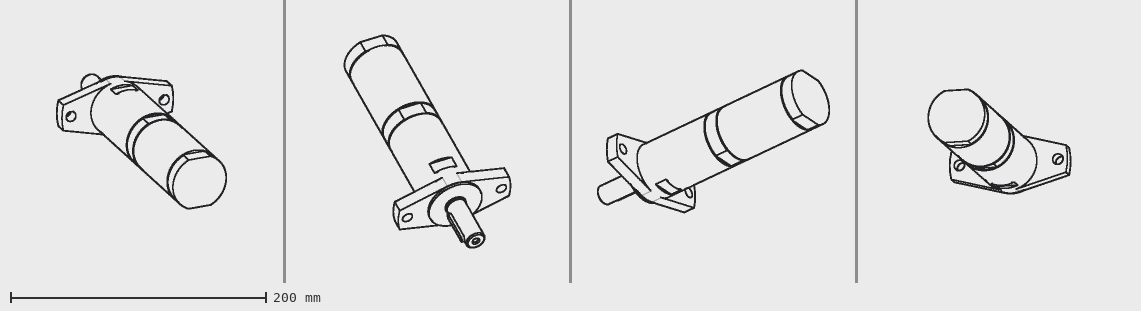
import cadquery as cq
import math

shoulder_x = 39.7
collar_x = 41.0
pilot_x = 41.6
flange_x = 43.8
flange_thickness = 10.2
front_flats_x = 61.6
front_flats_length = 10.5
middle_ring_x = 122.6
middle_flats_length = 11.7
rear_ring_x = 201.2
total_length = 212.5

body_diameter = 46.0
pilot_diameter = 45.0
shaft_diameter = 16.0
shoulder_diameter = 17.0
collar_diameter = 17.5

ring_width = 0.6
ring_diameter = pilot_diameter

flat_spacing = 41.9

shaft_chamfer = 1.0
center_hole_diameter = 4.0
center_sink_diameter = 6.2
center_sink_depth = 1.0
center_hole_depth = 8.5
drill_tip_length = 1.0

key_x = 4.2
key_length = 30.2
key_width = 5.0
key_top = 10.0

flange_width = 95.6
flange_taper = 15.4
bolt_hole_diameter = 8.3
bolt_spacing = 80.0


def section_plane(x):
    """Workplane across the axis at x: local x is Y, local y is Z."""
    return cq.Workplane("YZ", origin=(x, 0, 0))


def cylinder(start, end, diameter):
    return section_plane(start).circle(diameter / 2).extrude(end - start)


def make_shaft():
    """Shaft with a chamfered end, a conical shoulder and a seal collar."""
    shaft = cylinder(0, pilot_x, shaft_diameter).faces("<X").chamfer(shaft_chamfer)
    shoulder = (
        cq.Workplane("XY")
        .moveTo(shoulder_x, 0)
        .lineTo(shoulder_x, shaft_diameter / 2)
        .lineTo(collar_x, shoulder_diameter / 2)
        .lineTo(collar_x, 0)
        .close()
        .revolve(360, (0, 0, 0), (1, 0, 0))
    )
    collar = cylinder(collar_x, pilot_x, collar_diameter)
    return shaft.union(shoulder).union(collar)


def make_key():
    """Round-ended key that reaches from the shaft axis to its top face."""
    return (
        cq.Workplane("XZ")
        .center(key_x + key_length / 2, 0)
        .slot2D(key_length, key_width)
        .extrude(-key_top)
    )


def make_center_hole():
    """Countersunk hole with a conical bottom, as a solid to cut away."""
    hole_radius = center_hole_diameter / 2
    return (
        cq.Workplane("XY")
        .lineTo(0, center_sink_diameter / 2)
        .lineTo(center_sink_depth, hole_radius)
        .lineTo(center_hole_depth, hole_radius)
        .lineTo(center_hole_depth + drill_tip_length, 0)
        .close()
        .revolve(360, (0, 0, 0), (1, 0, 0))
    )


def make_flange():
    """Plate with round ends and straight sides tangent to the body."""
    body_radius = body_diameter / 2
    end_radius = flange_width / 2
    taper = math.radians(flange_taper)
    tangent_y = body_radius * math.sin(taper)
    tangent_z = body_radius * math.cos(taper)
    corner_angle = taper + math.acos(body_radius / end_radius)
    corner_y = end_radius * math.sin(corner_angle)
    corner_z = end_radius * math.cos(corner_angle)
    plate = (
        section_plane(flange_x)
        .moveTo(-tangent_y, tangent_z)
        .lineTo(tangent_y, tangent_z)
        .lineTo(corner_y, corner_z)
        .threePointArc((end_radius, 0), (corner_y, -corner_z))
        .lineTo(tangent_y, -tangent_z)
        .lineTo(-tangent_y, -tangent_z)
        .lineTo(-corner_y, -corner_z)
        .threePointArc((-end_radius, 0), (-corner_y, corner_z))
        .close()
        .extrude(flange_thickness)
    )
    bolt_holes = (
        section_plane(flange_x)
        .pushPoints([(-bolt_spacing / 2, 0), (bolt_spacing / 2, 0)])
        .circle(bolt_hole_diameter / 2)
        .extrude(flange_thickness)
    )
    return plate.cut(bolt_holes)


def flats_cutter(start, end):
    """Material above and below a pair of wrench flats."""
    return (
        section_plane(start)
        .rect(body_diameter, 2 * body_diameter)
        .rect(body_diameter, flat_spacing)
        .extrude(end - start)
    )


def ring_cutter(start):
    """Band around the body that leaves a relief ring."""
    return (
        section_plane(start)
        .circle(body_diameter)
        .circle(ring_diameter / 2)
        .extrude(ring_width)
    )


def make_body():
    """Cylindrical housing with its front pilot, relief rings and flats."""
    body = cylinder(flange_x, total_length, body_diameter)
    body = body.union(cylinder(pilot_x, flange_x, pilot_diameter))

    middle_flats_x = middle_ring_x + ring_width
    middle_flats_end = middle_flats_x + middle_flats_length
    for ring_x in (middle_ring_x, middle_flats_end, rear_ring_x):
        body = body.cut(ring_cutter(ring_x))

    flat_spans = [
        (front_flats_x, front_flats_x + front_flats_length),
        (middle_flats_x, middle_flats_end),
        (rear_ring_x, total_length),
    ]
    for start, end in flat_spans:
        body = body.cut(flats_cutter(start, end))
    return body


result = (
    make_body()
    .union(make_flange())
    .union(make_shaft())
    .union(make_key())
    .cut(make_center_hole())
)